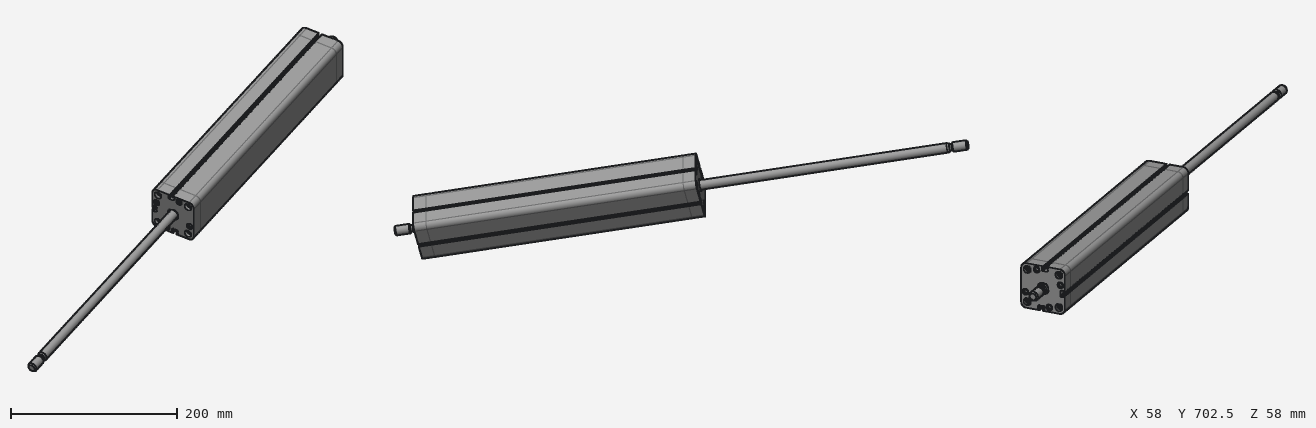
import cadquery as cq

overall_length = 702.5
width = 58.0
corner_radius = 7.0
body_length = 346.0
cap_length = 15.5
rear_reach = 28.0

rod_diameter = 12.0
stud_length = 20.0
stud_chamfer = 1.75
neck_diameter = 8.5
neck_length = 3.0
shoulder_chamfer = 1.05
shoulder_taper_length = 3.0

seal_diameter = 15.0
seal_depth = 2.0

screw_offset = 21.0
screw_bore_diameter = 9.0
screw_bore_depth = 5.0
socket_diameter = 5.0
socket_depth = 3.0

port_bore_diameter = 8.0
port_along = 8.5
port_out = 23.0
port_bore_depth = 2.0
port_hole_diameter = 5.0
port_hole_depth = 8.0

groove_mouth = 4.0
groove_offset = -2.45
groove_width = 8.5
groove_lip = 2.0
groove_depth = 6.0
groove_bevel = 1.5

half_width = width / 2
front_face = -body_length / 2
rear_face = body_length / 2
rod_rear_end = rear_face + rear_reach
rod_front_end = rod_rear_end - overall_length


def block(y_start, length):
    """Square bar with rounded long edges."""
    bar = cq.Workplane("XY").box(width, length, width).edges("|Y").fillet(corner_radius)
    return bar.translate((0, y_start + length / 2, 0))


def pin(x, z, diameter, y_start, length):
    """Cylinder along Y."""
    return cq.Workplane("XZ", origin=(x, y_start, z)).circle(diameter / 2).extrude(-length)


def quarter_turned(shape, turns):
    return shape.rotate((0, 0, 0), (0, 1, 0), 90 * turns)


def groove():
    """Sensor groove cutter for the +Z side."""
    lip_z = half_width - groove_lip
    floor_z = half_width - groove_depth
    half_mouth = groove_mouth / 2
    half_groove = groove_width / 2
    right_half = [
        (half_mouth, half_width),
        (half_mouth, lip_z),
        (half_groove, lip_z),
        (half_groove, floor_z + groove_bevel),
        (half_groove - groove_bevel, floor_z),
    ]
    left_half = [(-x, z) for x, z in reversed(right_half)]
    section = cq.Workplane("XZ", origin=(groove_offset, front_face, 0)).polyline(right_half + left_half)
    return section.close().extrude(-body_length)


def cap_face_cutters():
    """Ports, screw recesses and seal recess of the front cap face."""
    cutters = pin(0, 0, seal_diameter, front_face, seal_depth)
    socket_floor = screw_bore_depth + socket_depth
    for turns in range(4):
        recess = pin(screw_offset, screw_offset, screw_bore_diameter, front_face, screw_bore_depth)
        socket = pin(screw_offset, screw_offset, socket_diameter, front_face, socket_floor)
        port_bore = pin(port_along, port_out, port_bore_diameter, front_face, port_bore_depth)
        port_hole = pin(port_along, port_out, port_hole_diameter, front_face, port_hole_depth)
        for cutter in (recess, socket, port_bore, port_hole):
            cutters = cutters.union(quarter_turned(cutter, turns))
    return cutters


def rod():
    """Rod profile from one stud tip to the other, revolved about Y."""
    r = rod_diameter / 2
    neck = neck_diameter / 2
    tip = r - stud_chamfer
    shoulder = r - shoulder_chamfer
    neck_start = stud_length
    neck_end = neck_start + neck_length
    taper_end = neck_end + shoulder_taper_length
    half_profile = [
        (tip, 0),
        (r, stud_chamfer),
        (r, neck_start - stud_chamfer),
        (neck, neck_start),
        (neck, neck_end),
        (shoulder, neck_end),
        (r, taper_end),
    ]
    front = [(x, rod_front_end + d) for x, d in half_profile]
    rear = [(x, rod_rear_end - d) for x, d in reversed(half_profile)]
    outline = [(0, rod_front_end)] + front + rear + [(0, rod_rear_end)]
    return cq.Workplane("XY").polyline(outline).close().revolve(360, (0, 0, 0), (0, 1, 0))


front_cap = block(front_face, cap_length)
profile = block(front_face + cap_length, body_length - 2 * cap_length)
rear_cap = block(rear_face - cap_length, cap_length)
body = front_cap.union(profile, clean=False).union(rear_cap, clean=False)

face_cutters = cap_face_cutters()
body = body.cut(face_cutters, clean=False).cut(face_cutters.mirror("XZ"), clean=False)
for turns in (0, 2, 3):
    body = body.cut(quarter_turned(groove(), turns), clean=False)

result = body.union(rod(), clean=False)